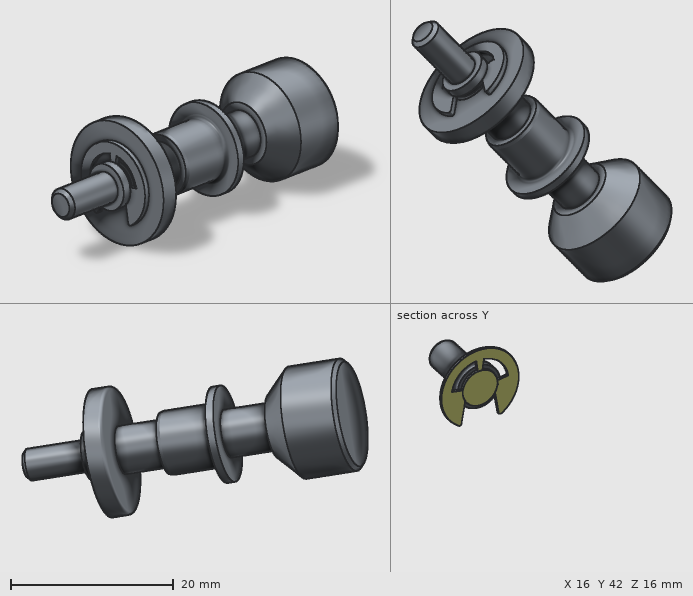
import cadquery as cq
import math


knob_radius = 7.0
knob_straight_length = 7.0
knob_length = 10.0
knob_neck_radius = 4.0
knob_edge_chamfer = 0.5
shaft_radius = 3.0
shaft_end = 34.0
pin_radius = 2.0
pin_chamfer = 0.5
overall_length = 42.0

bushing_start = 16.0
bushing_length = 8.0
bushing_radius = 4.0
bushing_flange_radius = 6.0
bushing_flange_thickness = 1.0
bushing_root_fillet = 0.5
bushing_lead_length = 0.5
bushing_lead_angle = 15.0

washer_start = 29.6
washer_thickness = 2.5
washer_radius = 8.0
washer_edge_fillet = 0.5

clip_start = washer_start + washer_thickness
clip_thickness = 0.7
clip_outer_radius = 5.5
clip_seat_radius = 2.5
clip_relief_radius = 4.0
clip_relief_lower_angle = 9.0
clip_relief_upper_angle = 82.0
clip_mouth_half_width = 2.1
clip_mouth_flare_angle = 9.5
clip_corner_fillet = 0.3


def cylinder(radius, start, length):
    """Cylinder on the Y axis that runs from Y = -start towards -Y."""
    return cq.Workplane("XZ", origin=(0, -start, 0)).circle(radius).extrude(length)


def make_plunger():
    body = (
        cq.Workplane("XY")
        .moveTo(0, 0)
        .lineTo(knob_radius, 0)
        .lineTo(knob_radius, -knob_straight_length)
        .lineTo(knob_neck_radius, -knob_length)
        .lineTo(shaft_radius, -knob_length)
        .lineTo(shaft_radius, -shaft_end)
        .lineTo(pin_radius, -shaft_end)
        .lineTo(pin_radius, -overall_length)
        .lineTo(0, -overall_length)
        .close()
        .revolve(360, (0, 0, 0), (0, 1, 0))
    )
    body = body.faces(">Y").edges().chamfer(knob_edge_chamfer)
    body = body.faces("<Y").edges().chamfer(pin_chamfer)
    groove = cylinder(shaft_radius, clip_start, clip_thickness).cut(
        cylinder(clip_seat_radius, clip_start, clip_thickness)
    )
    return body.cut(groove)


def make_bushing():
    flange_face = bushing_start + bushing_flange_thickness
    bushing_end = bushing_start + bushing_length
    lead_drop = bushing_lead_length * math.tan(math.radians(bushing_lead_angle))
    fillet_offset = bushing_root_fillet * (1 - math.sqrt(0.5))
    return (
        cq.Workplane("XY")
        .moveTo(shaft_radius, -bushing_start)
        .lineTo(bushing_flange_radius, -bushing_start)
        .lineTo(bushing_flange_radius, -flange_face)
        .lineTo(bushing_radius + bushing_root_fillet, -flange_face)
        .threePointArc(
            (bushing_radius + fillet_offset, -flange_face - fillet_offset),
            (bushing_radius, -flange_face - bushing_root_fillet),
        )
        .lineTo(bushing_radius, -bushing_end + bushing_lead_length)
        .lineTo(bushing_radius - lead_drop, -bushing_end)
        .lineTo(shaft_radius, -bushing_end)
        .close()
        .revolve(360, (0, 0, 0), (0, 1, 0))
    )


def make_washer():
    disc = cylinder(washer_radius, washer_start, washer_thickness)
    disc = disc.faces(">Y").edges().fillet(washer_edge_fillet)
    return disc.cut(cylinder(shaft_radius, washer_start, washer_thickness))


def clip_relief(side):
    """Curved pocket between the top tab and a side tab; side is +1 for +X and -1 for -X."""

    def polar(radius, angle):
        return side * radius * math.cos(math.radians(angle)), radius * math.sin(math.radians(angle))

    lower = clip_relief_lower_angle
    upper = clip_relief_upper_angle
    middle = (lower + upper) / 2
    return (
        cq.Workplane("XZ", origin=(0, -clip_start, 0))
        .moveTo(*polar(clip_seat_radius, lower))
        .lineTo(*polar(clip_relief_radius, lower))
        .threePointArc(polar(clip_relief_radius, middle), polar(clip_relief_radius, upper))
        .lineTo(*polar(clip_seat_radius, upper))
        .threePointArc(polar(clip_seat_radius, middle), polar(clip_seat_radius, lower))
        .close()
        .extrude(clip_thickness)
    )


def clip_mouth():
    """Flared opening through which the clip slides onto the groove."""
    throat_z = -math.sqrt(clip_seat_radius**2 - clip_mouth_half_width**2)
    flare = (clip_outer_radius + throat_z) * math.tan(math.radians(clip_mouth_flare_angle))
    outer_half_width = clip_mouth_half_width + flare
    return (
        cq.Workplane("XZ", origin=(0, -clip_start, 0))
        .moveTo(0, 0)
        .lineTo(clip_mouth_half_width, throat_z)
        .lineTo(outer_half_width, -clip_outer_radius)
        .lineTo(-outer_half_width, -clip_outer_radius)
        .lineTo(-clip_mouth_half_width, throat_z)
        .close()
        .extrude(clip_thickness)
    )


def make_clip():
    clip = cylinder(clip_outer_radius, clip_start, clip_thickness)
    clip = clip.cut(clip_mouth())
    clip = clip.cut(cylinder(clip_seat_radius, clip_start, clip_thickness))
    leg_tips = cq.selectors.BoxSelector(
        (-clip_outer_radius, -clip_start - clip_thickness, -clip_outer_radius),
        (clip_outer_radius, -clip_start, -clip_relief_radius),
    )
    clip = clip.edges("|Y").edges(leg_tips).fillet(clip_corner_fillet)
    for side in (-1, 1):
        clip = clip.cut(clip_relief(side))
    return clip


plunger = make_plunger()
bushing = make_bushing()
washer = make_washer()
clip = make_clip()

result = cq.Compound.makeCompound([plunger.val(), bushing.val(), washer.val(), clip.val()])